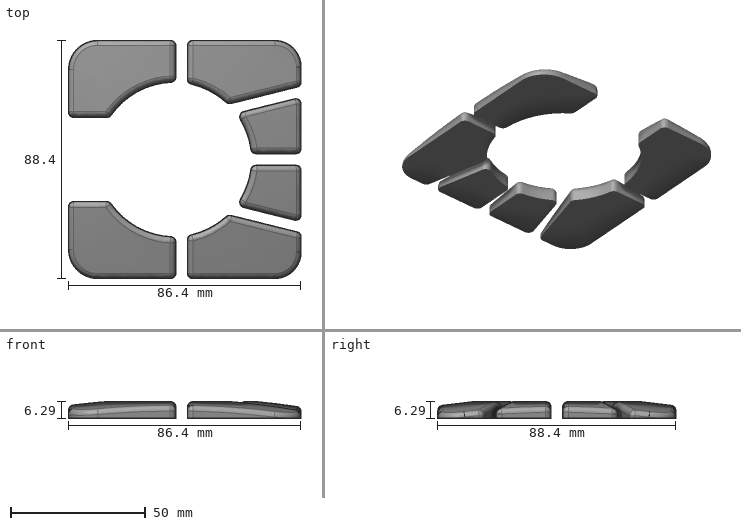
import cadquery as cq
import math

LEFT_X = -39.25
WIDTH = 86.4
RIGHT_X = LEFT_X + WIDTH
HALF_LENGTH = 44.2
OPENING_RADIUS = 28.6

GAP = 4.2
SLANT_GAP = 4.0
SPLIT_X = 2.7
LEFT_PAD_END_Y = 15.6
SLANT_ANGLE = 14.0
SLANT_END_Y = 25.2

PEAK_Z = 6.3
DOME_RADIUS = 309.4

EDGE_RADIUS = 2.1
LEFT_CORNER_RADIUS = 11.0
RIGHT_CORNER_RADIUS = 10.0

PEAK_RADIUS = OPENING_RADIUS + EDGE_RADIUS
DOME_CENTRE_Z = PEAK_Z - math.sqrt(DOME_RADIUS**2 - PEAK_RADIUS**2)
BLANK_HEIGHT = 2 * PEAK_Z


def opening_y(x):
    """Y of the opening's upper edge at a given X."""
    return math.sqrt(OPENING_RADIUS**2 - x**2)


def opening_x(y):
    """X of the opening's right edge at a given Y."""
    return math.sqrt(OPENING_RADIUS**2 - y**2)


def opening_mid(start, end):
    """Point of the opening's edge halfway between two of its points."""
    x = start[0] + end[0]
    y = start[1] + end[1]
    scale = OPENING_RADIUS / math.hypot(x, y)
    return (x * scale, y * scale)


def slanted_edge(offset):
    """Inner and outer end of a slanted pad edge, offset upward from the gap's middle line."""
    angle = math.radians(SLANT_ANGLE)
    slope = math.tan(angle)
    outer_y = SLANT_END_Y + offset / math.cos(angle)
    distance = (outer_y - slope * RIGHT_X) * math.cos(angle)
    turn = math.acos(distance / OPENING_RADIUS)
    direction = math.pi / 2 + angle - turn
    inner = (OPENING_RADIUS * math.cos(direction), OPENING_RADIUS * math.sin(direction))
    return inner, (RIGHT_X, outer_y)


def domed_blank(outline):
    """Raise an outline from the ground and cut its top to the dome."""
    dome = cq.Workplane("XY").sphere(DOME_RADIUS).translate((0, 0, DOME_CENTRE_Z))
    return outline.close().extrude(BLANK_HEIGHT).intersect(dome)


def round_outer_corner(pad, corner, radius):
    """Round the large upright corner of a pad."""
    corner_edge = cq.selectors.NearestToPointSelector((*corner, 0))
    return pad.edges("|Z").edges(corner_edge).fillet(radius)


def round_edges(pad, corners):
    """Round the sharp upright corners and the whole top edge of a pad."""
    sharp_edges = pad.faces(">Z").edges().vals()
    for corner in corners:
        corner_edge = cq.selectors.NearestToPointSelector((*corner, PEAK_Z / 2))
        sharp_edges += pad.edges("|Z").edges(corner_edge).vals()
    return pad.newObject(sharp_edges).fillet(EDGE_RADIUS)


def left_corner_pad():
    """Pad at the left end of the ring, with one large round corner."""
    end_x = SPLIT_X - GAP / 2
    outer_corner = (LEFT_X, HALF_LENGTH)
    low_left = (LEFT_X, LEFT_PAD_END_Y)
    arc_start = (-opening_x(LEFT_PAD_END_Y), LEFT_PAD_END_Y)
    arc_end = (end_x, opening_y(end_x))
    top_right = (end_x, HALF_LENGTH)
    outline = (
        cq.Workplane("XY").moveTo(*outer_corner).lineTo(*low_left).lineTo(*arc_start)
        .threePointArc(opening_mid(arc_start, arc_end), arc_end).lineTo(*top_right)
    )
    pad = round_outer_corner(domed_blank(outline), outer_corner, LEFT_CORNER_RADIUS)
    return round_edges(pad, [low_left, arc_start, arc_end, top_right])


def right_corner_pad():
    """Pad at the right, with one large round corner and a slanted lower side."""
    start_x = SPLIT_X + GAP / 2
    outer_corner = (RIGHT_X, HALF_LENGTH)
    top_left = (start_x, HALF_LENGTH)
    arc_start = (start_x, opening_y(start_x))
    arc_end, low_right = slanted_edge(SLANT_GAP / 2)
    outline = (
        cq.Workplane("XY").moveTo(*outer_corner).lineTo(*top_left).lineTo(*arc_start)
        .threePointArc(opening_mid(arc_start, arc_end), arc_end).lineTo(*low_right)
    )
    pad = round_outer_corner(domed_blank(outline), outer_corner, RIGHT_CORNER_RADIUS)
    return round_edges(pad, [top_left, arc_start, arc_end, low_right])


def side_pad():
    """Small pad at the right side, between the slanted gap and the X axis."""
    low_y = GAP / 2
    low_right = (RIGHT_X, low_y)
    arc_start, top_right = slanted_edge(-SLANT_GAP / 2)
    arc_end = (opening_x(low_y), low_y)
    outline = (
        cq.Workplane("XY").moveTo(*top_right).lineTo(*arc_start)
        .threePointArc(opening_mid(arc_start, arc_end), arc_end).lineTo(*low_right)
    )
    return round_edges(domed_blank(outline), [top_right, arc_start, arc_end, low_right])


bodies = []
for make_pad in (left_corner_pad, right_corner_pad, side_pad):
    pad = make_pad()
    bodies += [pad.val(), pad.mirror("XZ").val()]

result = cq.Compound.makeCompound(bodies)